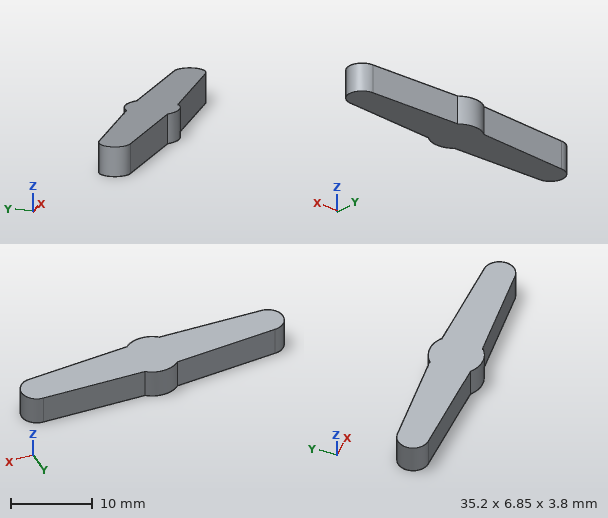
import cadquery as cq
import math

length = 35.2
thickness = 3.8
hub_diameter = 6.85
tip_radius = 2.0
root_half_width = 2.65

hub_radius = hub_diameter / 2
tip_center_x = length / 2 - tip_radius
root_x = math.sqrt(hub_radius**2 - root_half_width**2)


def arm(side):
    """Tapered arm with a round tip, reaching from the center along side * X."""
    return (
        cq.Workplane("XY")
        .moveTo(0, -root_half_width)
        .lineTo(side * root_x, -root_half_width)
        .lineTo(side * tip_center_x, -tip_radius)
        .threePointArc((side * length / 2, 0), (side * tip_center_x, tip_radius))
        .lineTo(side * root_x, root_half_width)
        .lineTo(0, root_half_width)
        .close()
        .extrude(thickness)
    )


result = cq.Workplane("XY").circle(hub_radius).extrude(thickness)
for side in (-1, 1):
    result = result.union(arm(side))